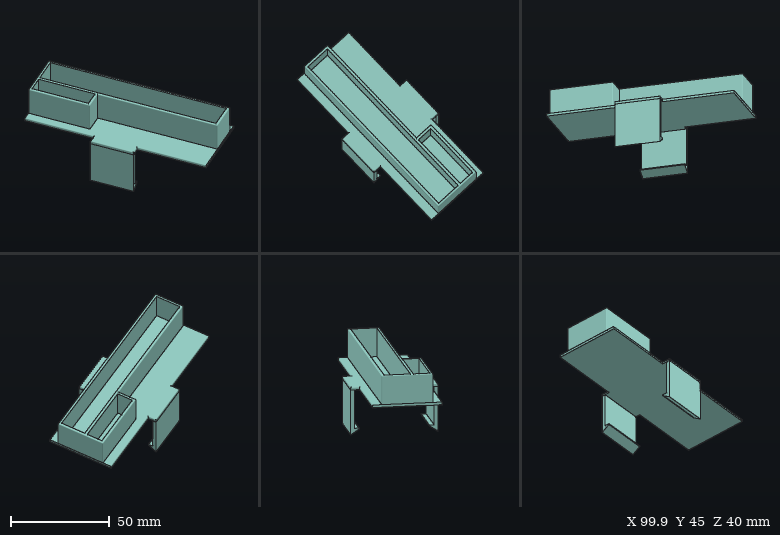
import cadquery as cq

length = 99.9
plate_width = 36.0
plate_thickness = 1.5
tab_length = 24.0
overall_width = 45.0
edge_radius = 0.5

tray_height = 15.0
tray_width = 26.5
wall = 1.5
long_pocket_width = 13.5
short_tray_length = 34.0

clip_height = 23.5
clip_thickness = 2.0
hook_reach = 4.5
hook_height = 3.5
hook_tip_height = 0.5

left = -length / 2
tray_back = tray_width / 2
long_tray_width = long_pocket_width + 2 * wall
short_pocket_width = tray_width - long_pocket_width - 3 * wall


def corner_box(x, y, z, size_x, size_y, size_z):
    """Box that extends from its lowest corner."""
    return cq.Workplane("XY").box(size_x, size_y, size_z, centered=False).translate((x, y, z))


def make_plate():
    strip = cq.Workplane("XY").box(length, plate_width, plate_thickness, centered=(True, True, False))
    tabs = cq.Workplane("XY").box(tab_length, overall_width, plate_thickness, centered=(True, True, False))
    plate = strip.union(tabs)
    rim = plate.faces(">Z").edges().filter(lambda edge: abs(edge.Center().x) < length / 2 - edge_radius)
    return rim.fillet(edge_radius)


def make_tray():
    base = plate_thickness
    long_box = corner_box(left, tray_back - long_tray_width, base, length, long_tray_width, tray_height)
    short_box = corner_box(left, -tray_back, base, short_tray_length, tray_width, tray_height)
    outside = long_box.union(short_box)
    inside_corner = outside.edges("|Z").edges(
        cq.selectors.NearestToPointSelector(
            (left + short_tray_length, tray_back - long_tray_width, base + tray_height / 2)
        )
    ).val()
    rounded = outside.edges("|Z or >Z").filter(lambda edge: not edge.isSame(inside_corner))
    outside = rounded.fillet(edge_radius)

    long_pocket = corner_box(
        left + wall, tray_back - wall - long_pocket_width, base,
        length - 2 * wall, long_pocket_width, tray_height,
    )
    short_pocket = corner_box(
        left + wall, -tray_back + wall, base,
        short_tray_length - 2 * wall, short_pocket_width, tray_height,
    )
    return outside.cut(long_pocket).cut(short_pocket)


def make_clip(side):
    """Clip on the +Y (side = 1) or -Y (side = -1) tab, with its hook pointing inward."""
    outer = overall_width / 2
    hook_top = hook_height - clip_height
    profile = [
        (outer, 0),
        (outer, -clip_height),
        (outer - hook_reach, hook_top - hook_tip_height),
        (outer - hook_reach, hook_top),
        (outer - clip_thickness, hook_top),
        (outer - clip_thickness, 0),
    ]
    points = [(side * y, z) for y, z in profile]
    return cq.Workplane("YZ").polyline(points).close().extrude(tab_length / 2, both=True)


plate = make_plate()
tray = make_tray()
clips = [make_clip(side) for side in (-1, 1)]

result = cq.Compound.makeCompound([plate.val(), tray.val(), *[clip.val() for clip in clips]])